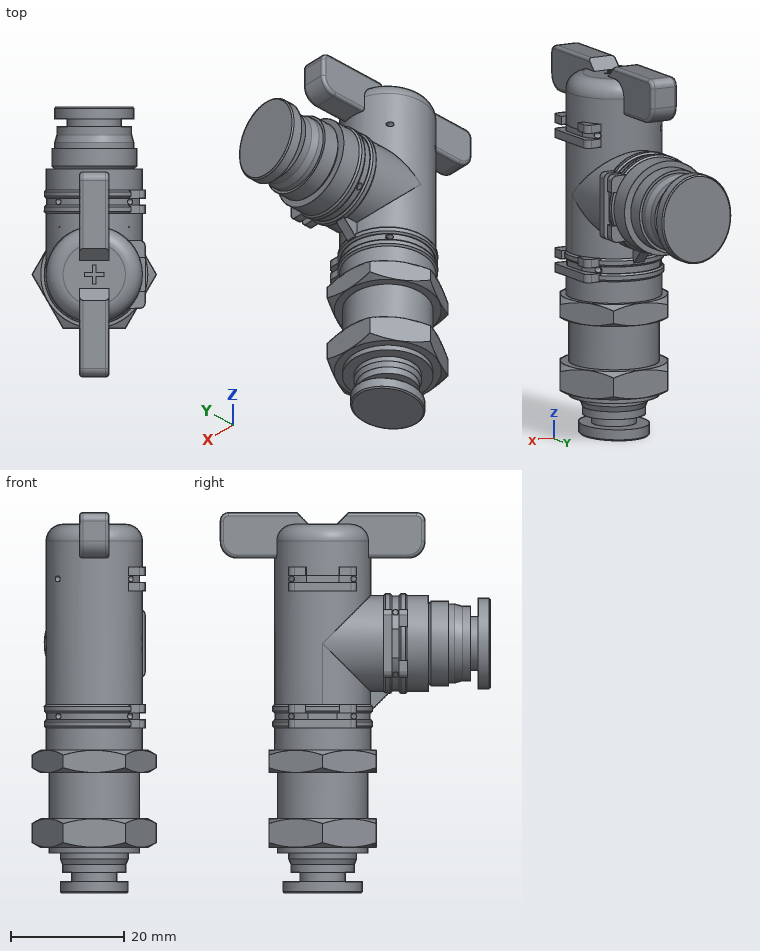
import cadquery as cq
import math


body_radius = 8.5
body_top = 21.05
body_bottom = -18.8
cap_fillet = 3.0
branch_end = 18.65

neck_radius = 8.0
neck_bottom = -37.0
nut_across_flats = 19.0
nut_chamfer_radius = 9.45
nut_chamfer_angle = 30.0
upper_nut_height = 4.0
lower_nut_height = 5.1
upper_nut_bottom = body_bottom - upper_nut_height
lower_nut_bottom = -36.0

lower_sleeve_radius = 6.0
lower_sleeve_tip_radius = 5.6
lower_taper_start = -38.0
lower_taper_end = -39.0
lower_sleeve_end = -40.4
lower_stem_radius = 4.0
lower_flange_start = -42.0
bottom_end = -44.05
lower_flange_minor = 6.0
lower_flange_major = 7.0

collar_radius = 7.5
collar_chamfer = 0.5
collar_end = 22.25
branch_sleeve_radius = 7.0
branch_sleeve_tip_radius = 6.6
branch_taper_start = 23.25
branch_taper_end = 24.65
branch_sleeve_end = 26.1
branch_stem_radius = 4.8
branch_flange_start = 27.45
branch_tip = 29.58
branch_flange_minor = 7.0
branch_flange_major = 8.0
flange_edge_chamfer = 0.25

upper_clip_center = 11.4
lower_clip_center = -12.85
branch_clip_center = 12.85
lug_gap = 1.2
lug_thickness = 1.5
lug_root = 3.0
lug_reach = 9.0
lug_half_length = 6.0
lug_corner_radius = 1.0
gap_flat = 8.0
lug_notch_half_width = 3.0
pin_hole_diameter = 1.0
pin_hole_offset = 5.5
pin_hole_floor_radius = 7.5

rib_radius = 8.83
rib_chamfer = 0.36
rib_groove_radius = 8.4

gusset_thickness = 2.0
gusset_root = 8.0
gusset_leg = 4.4

handle_width = 5.2
handle_half_length = 18.07
handle_top = 23.1
handle_bottom = 15.05
handle_upper_corner = 1.5
handle_lower_corner = 3.0
handle_edge_fillet = 0.6
handle_gap_half = 2.5
handle_slope_run = handle_top - body_top

cross_length = 3.4
cross_width = 0.7
cross_depth = 0.5


def revolve_profile(points):
    """Revolve (radius, height) points about Z."""
    return cq.Workplane("XZ").polyline(points).close().revolve(360, (0, 0, 0), (0, 1, 0))


def onto_branch(shape):
    """Turn a shape built along +Z so that it lies along +Y, keeping +X."""
    return shape.rotate((0, 0, 0), (1, 0, 0), -90)


def cylinder(radius, start, end):
    return cq.Workplane("XY").workplane(offset=start).circle(radius).extrude(end - start)


def hex_nut(bottom, height):
    """Hex nut with corners on X and both faces chamfered by a cone."""
    corner_radius = nut_across_flats / 2 / math.cos(math.pi / 6)
    drop = (corner_radius - nut_chamfer_radius) * math.tan(math.radians(nut_chamfer_angle))
    top = bottom + height
    prism = cq.Workplane("XY").workplane(offset=bottom).polygon(6, 2 * corner_radius).extrude(height)
    turned = revolve_profile([
        (0, bottom),
        (nut_chamfer_radius, bottom),
        (corner_radius, bottom + drop),
        (corner_radius, top - drop),
        (nut_chamfer_radius, top),
        (0, top),
    ])
    return prism.intersect(turned)


def oval_flange(minor, major, start, end):
    """Oval release flange with axis Z, long along Y, its edge at `end` chamfered."""
    blank = cq.Workplane("XY").workplane(offset=start).ellipse(minor, major).extrude(end - start)
    outer_face = ">Z" if end > start else "<Z"
    return blank.faces(outer_face).edges().chamfer(flange_edge_chamfer)


def lower_cartridge():
    sleeve = revolve_profile([
        (0, neck_bottom),
        (lower_sleeve_radius, neck_bottom),
        (lower_sleeve_radius, lower_taper_start),
        (lower_sleeve_tip_radius, lower_taper_end),
        (lower_sleeve_tip_radius, lower_sleeve_end),
        (lower_stem_radius, lower_sleeve_end),
        (lower_stem_radius, lower_flange_start),
        (0, lower_flange_start),
    ])
    return sleeve.union(oval_flange(lower_flange_minor, lower_flange_major, lower_flange_start, bottom_end))


def branch_cartridge():
    sleeve = revolve_profile([
        (0, branch_end),
        (collar_radius - collar_chamfer, branch_end),
        (collar_radius, branch_end + collar_chamfer),
        (collar_radius, collar_end),
        (branch_sleeve_radius, collar_end),
        (branch_sleeve_radius, branch_taper_start),
        (branch_sleeve_tip_radius, branch_taper_end),
        (branch_sleeve_tip_radius, branch_sleeve_end),
        (branch_stem_radius, branch_sleeve_end),
        (branch_stem_radius, branch_flange_start),
        (0, branch_flange_start),
    ])
    flange = oval_flange(branch_flange_minor, branch_flange_major, branch_flange_start, branch_tip)
    return onto_branch(sleeve.union(flange))


def rib_pair(center):
    """Two chamfered disks, either side of the clip gap, whose rims stand out of the body as ribs."""
    ribs = cq.Workplane("XY")
    for base in (center + lug_gap / 2, center - lug_gap / 2 - lug_thickness):
        top = base + lug_thickness
        ribs = ribs.union(revolve_profile([
            (0, base),
            (rib_radius - rib_chamfer, base),
            (rib_radius, base + rib_chamfer),
            (rib_radius, top - rib_chamfer),
            (rib_radius - rib_chamfer, top),
            (0, top),
        ]))
    return ribs


def lug_notch(center):
    """Cutter for the notch across the outer edge of the upper lug."""
    return cq.Workplane("XY").box(
        lug_reach, 2 * lug_notch_half_width, lug_thickness, centered=(False, True, False)
    ).translate((gap_flat, 0, center + lug_gap / 2))


def lug_pair(center):
    """Two flat lugs on the +X side with rounded outer corners, the upper one notched."""
    lug = (
        cq.Workplane("XY")
        .box(lug_reach - lug_root, 2 * lug_half_length, lug_thickness, centered=(False, True, False))
        .translate((lug_root, 0, 0))
        .edges("|Z and >X")
        .fillet(lug_corner_radius)
    )
    lower = lug.translate((0, 0, center - lug_gap / 2 - lug_thickness))
    upper = lug.translate((0, 0, center + lug_gap / 2)).cut(lug_notch(center))
    return upper.union(lower)


def ribbed_clip(center):
    """Lugs with the ribs that carry them round the body."""
    return rib_pair(center).union(lug_pair(center))


def gap_cut(center):
    """Flat at the back of the gap between the lugs."""
    return cq.Workplane("XY").box(
        lug_reach, 2 * rib_radius, lug_gap, centered=(False, True, True)
    ).translate((gap_flat, 0, center))


def groove_cut(center):
    """Shallow ring groove between the two ribs."""
    low = center - lug_gap / 2
    high = center + lug_gap / 2
    return cylinder(body_radius + 1, low, high).cut(cylinder(rib_groove_radius, low, high))


def pin_holes(center):
    """Short blind holes along X on both sides of the body, with floors that follow its curve."""
    rods = (
        cq.Workplane("YZ")
        .workplane(offset=-body_radius)
        .pushPoints([(-pin_hole_offset, center), (pin_hole_offset, center)])
        .circle(pin_hole_diameter / 2)
        .extrude(2 * body_radius)
    )
    return rods.cut(cylinder(pin_hole_floor_radius, center - pin_hole_diameter, center + pin_hole_diameter))


def gusset():
    """Triangular web whose sloping edge runs at 45 degrees from the branch to the main body."""
    return (
        cq.Workplane("YZ")
        .polyline([
            (gusset_root, -gusset_root),
            (gusset_root + gusset_leg, -gusset_root),
            (gusset_root, -gusset_root - gusset_leg),
        ])
        .close()
        .extrude(gusset_thickness / 2, both=True)
    )


def handle():
    """Flat T-handle; the middle of its top is notched down to the cap."""
    blank = (
        cq.Workplane("XY")
        .box(handle_width, 2 * handle_half_length, handle_top - handle_bottom, centered=(True, True, False))
        .translate((0, 0, handle_bottom))
        .edges("|X and >Z")
        .fillet(handle_upper_corner)
        .edges("|X and <Z")
        .fillet(handle_lower_corner)
        .faces("<X or >X")
        .edges()
        .fillet(handle_edge_fillet)
    )
    notch_top = handle_gap_half + handle_slope_run
    notch = (
        cq.Workplane("YZ")
        .polyline([
            (-handle_gap_half, body_top),
            (handle_gap_half, body_top),
            (notch_top, handle_top),
            (-notch_top, handle_top),
        ])
        .close()
        .extrude(handle_width, both=True)
    )
    return blank.cut(notch)


def cross_slot():
    cross = cq.Workplane("XY").rect(cross_length, cross_width).extrude(-cross_depth)
    cross = cross.union(cq.Workplane("XY").rect(cross_width, cross_length).extrude(-cross_depth))
    return cross.translate((0, 0, body_top))


def tee_body():
    main = cylinder(body_radius, body_bottom, body_top).faces(">Z").edges().fillet(cap_fillet)
    branch = onto_branch(cylinder(body_radius, 0, branch_end))
    body = main.union(branch).union(gusset())

    body = body.cut(groove_cut(lower_clip_center)).cut(onto_branch(groove_cut(branch_clip_center)))
    body = body.union(lug_pair(upper_clip_center)).union(ribbed_clip(lower_clip_center))
    body = body.union(onto_branch(ribbed_clip(branch_clip_center)))

    for center in (upper_clip_center, lower_clip_center):
        body = body.cut(gap_cut(center)).cut(pin_holes(center))
    return body.cut(onto_branch(gap_cut(branch_clip_center))).cut(onto_branch(pin_holes(branch_clip_center)))


result = (
    tee_body()
    .union(cylinder(neck_radius, neck_bottom, body_bottom))
    .union(hex_nut(upper_nut_bottom, upper_nut_height))
    .union(hex_nut(lower_nut_bottom, lower_nut_height))
    .union(lower_cartridge())
    .union(branch_cartridge())
    .union(handle())
    .cut(cross_slot())
)